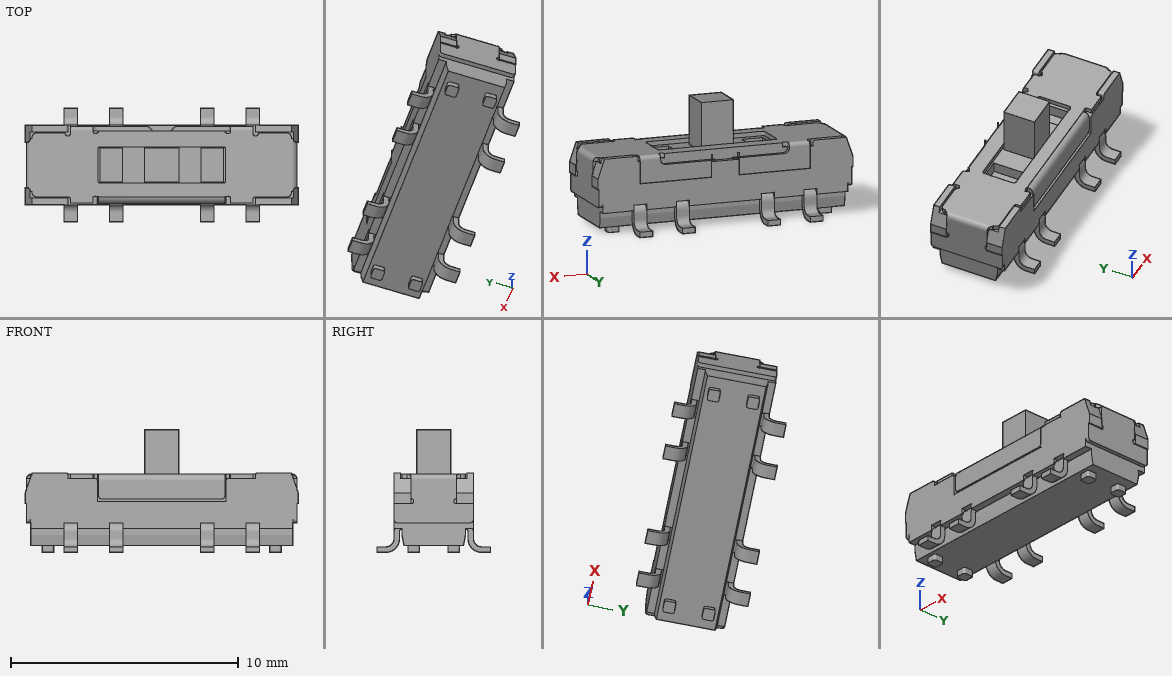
import cadquery as cq

BASE_BOTTOM = 0.3
TAPER_TOP = 0.75
WALL_BOTTOM = 1.05
END_FLAP_BOTTOM = 1.3
EAR_BOTTOM = 2.14
EAR_SLOPE_START = 2.62
FRAME_TOP = 3.25
PLATE_THICKNESS = 0.2
PLATE_TOP = FRAME_TOP + PLATE_THICKNESS
TAB_TOP = 3.5
KNOB_TOP = 5.4

FRAME_LENGTH = 11.52
FRAME_WIDTH = 3.5
HALF_WIDTH = FRAME_WIDTH / 2
EAR_END_X = 6.0
EAR_INNER_Y = 0.99
TAB_END_X = 5.69
TAB_START_X = 4.11
TAB_INNER_Y = 1.45
TAB_ROUND = 0.1

BASE_TOP_WIDTH = 2.8
BASE_BOTTOM_WIDTH = 2.62
PEG_SIZE = 0.52
PEG_ROUND = 0.1
PEG_X = 5.0
PEG_Y = 0.88

END_FLAP_X = 5.95
END_BEND_RADIUS = 0.25
END_FLAP_ROUND = 0.15
FLARE_RADIUS = 0.18
FLARE_Y = EAR_INNER_Y + FLARE_RADIUS
SLIT_HOLE_RADIUS = 0.11
PLATE_LENGTH = 11.4
PLATE_HALF_WIDTH = 1.4
PLATE_CORNER_RADIUS = 0.2
LUG_ROOT_RADIUS = 0.12
LUG_INNER_X = 3.03
LUG_OUTER_X = 4.0
LUG_FRONT_Y = 1.68
BACK_EDGE_Y = 1.5
SIDE_FLAP_Y = 1.695
FLAP_ROOT_Y = 1.3
BACK_BEND_RADIUS = SIDE_FLAP_Y - BACK_EDGE_Y
FRONT_FLAP_HALF = 2.78
FRONT_FLAP_BOTTOM = 2.35
FRONT_FLAP_ROUND = 0.15
FRONT_BEND_RADIUS = 0.31
RELIEF_RADIUS = 0.125
RELIEF_Y = 1.5
RELIEF_X = FRONT_FLAP_HALF + RELIEF_RADIUS
TAB_RELIEF_X = LUG_OUTER_X + RELIEF_RADIUS

FRONT_RECESS_HALF = 2.83
SIDE_RECESS_BOTTOM = 2.24
FRONT_RECESS_DEPTH = 0.4
FRONT_RECESS_ROUND = 0.1
BACK_TROUGH_DEPTH = 0.25
BACK_NOTCH_OUTER_HALF = 0.65
BACK_NOTCH_INNER_HALF = 0.4
BACK_NOTCH_DEPTH = 0.05

WINDOW_LENGTH = 5.6
WINDOW_WIDTH = 1.6
WINDOW_ROUND = 0.1
CARRIAGE_LENGTH = 7.0
CARRIAGE_WIDTH = 2.2
CARRIAGE_BOTTOM = 2.5
CARRIAGE_CLEARANCE = 0.07
CARRIAGE_TOP = FRAME_TOP - CARRIAGE_CLEARANCE
POCKET_INNER_X = 1.73
POCKET_OUTER_X = 2.71
POCKET_DEPTH = 0.5
KNOB_WIDTH = 1.5
KNOB_LENGTH = 1.5

LEG_XS = (-4.0, -2.0, 2.0, 4.0)
LEG_WIDTH = 0.6
LEG_THICKNESS = 0.25
LEG_TIP_Y = 2.5
LEG_TOP = 1.3
LEG_TOP_RADIUS = 0.4
LEG_FOOT_RADIUS = 0.35


def block(x0, x1, y0, y1, z0, z1):
    """Box between two opposite corners."""
    return cq.Workplane("XY").box(x1 - x0, y1 - y0, z1 - z0, centered=False).translate((x0, y0, z0))


def centred_block(length, width, z0, z1):
    """Box centred on the Z axis."""
    return block(-length / 2, length / 2, -width / 2, width / 2, z0, z1)


def mirrored_in_x(shape):
    """The shape together with its copy at the other end."""
    return shape.union(shape.mirror("YZ"))


def make_base():
    half_top = BASE_TOP_WIDTH / 2
    half_bottom = BASE_BOTTOM_WIDTH / 2
    outline = [
        (-half_bottom, BASE_BOTTOM),
        (half_bottom, BASE_BOTTOM),
        (half_top, TAPER_TOP),
        (half_top, WALL_BOTTOM),
        (-half_top, WALL_BOTTOM),
        (-half_top, TAPER_TOP),
    ]
    base = cq.Workplane("YZ").polyline(outline).close().extrude(FRAME_LENGTH / 2, both=True)
    pegs = (
        cq.Workplane("XY")
        .rect(2 * PEG_X, 2 * PEG_Y, forConstruction=True)
        .vertices()
        .rect(PEG_SIZE, PEG_SIZE)
        .extrude(BASE_BOTTOM)
        .edges("|Z")
        .fillet(PEG_ROUND)
    )
    return base.union(pegs)


def make_corner(side):
    """Sloped ear and upright tab at the +X end of one side wall (side is -1 or 1 in Y)."""
    profile = [
        (TAB_START_X, EAR_BOTTOM),
        (EAR_END_X, EAR_BOTTOM),
        (EAR_END_X, EAR_SLOPE_START),
        (TAB_END_X, TAB_TOP),
        (TAB_START_X, TAB_TOP),
    ]
    corner = (
        cq.Workplane("XZ", origin=(0, HALF_WIDTH, 0))
        .polyline(profile)
        .close()
        .extrude(HALF_WIDTH - EAR_INNER_Y)
        .edges("<X and >Z")
        .fillet(TAB_ROUND)
    )
    corner = corner.cut(block(0, EAR_END_X, 0, TAB_INNER_Y, FRAME_TOP, TAB_TOP))
    return corner if side > 0 else corner.mirror("XZ")


def make_end_flaps():
    """Flaps over both ends: full width low down, narrow between the ears, flared at the bend."""
    low = centred_block(2 * END_FLAP_X, FRAME_WIDTH, END_FLAP_BOTTOM, EAR_BOTTOM)
    low = low.edges("|X and <Z").fillet(END_FLAP_ROUND)
    high = centred_block(2 * END_FLAP_X, 2 * EAR_INNER_Y, END_FLAP_BOTTOM, PLATE_TOP)
    high = high.edges("|Y and >Z").fillet(END_BEND_RADIUS)
    flare = centred_block(2 * END_FLAP_X, 2 * FLARE_Y, END_FLAP_BOTTOM, PLATE_TOP)
    flare = flare.edges("|Y and >Z").fillet(END_BEND_RADIUS)
    flare = flare.intersect(centred_block(2 * END_FLAP_X, FRAME_WIDTH, FRAME_TOP, PLATE_TOP))
    scallops = (
        cq.Workplane("XY", origin=(0, 0, FRAME_TOP))
        .rect(2 * END_FLAP_X, 2 * FLARE_Y, forConstruction=True)
        .vertices()
        .circle(FLARE_RADIUS)
        .extrude(PLATE_THICKNESS)
    )
    return low.union(high).union(flare.cut(scallops))


def cut_slit_holes(housing):
    """Half-round reliefs in the end flaps beside the foot of each ear."""
    hole_depth = END_FLAP_X - FRAME_LENGTH / 2
    for side in (-1, 1):
        hole = (
            cq.Workplane("YZ", origin=(FRAME_LENGTH / 2, 0, 0))
            .center(side * EAR_INNER_Y, EAR_BOTTOM + SLIT_HOLE_RADIUS)
            .circle(SLIT_HOLE_RADIUS)
            .extrude(hole_depth)
            .intersect(block(0, EAR_END_X, -EAR_INNER_Y, EAR_INNER_Y, 0, PLATE_TOP))
        )
        housing = housing.cut(mirrored_in_x(hole))
    return housing


def make_plate():
    plate = centred_block(PLATE_LENGTH, 2 * PLATE_HALF_WIDTH, FRAME_TOP, PLATE_TOP)
    plate = plate.edges("|Z").fillet(PLATE_CORNER_RADIUS)
    plate = plate.union(block(-LUG_OUTER_X, LUG_OUTER_X, 0, BACK_EDGE_Y, FRAME_TOP, PLATE_TOP))
    front_lug = block(LUG_INNER_X, LUG_OUTER_X, -LUG_FRONT_Y, 0, FRAME_TOP, PLATE_TOP)
    plate = plate.union(mirrored_in_x(front_lug))
    for end in (-1, 1):
        root = cq.selectors.NearestToPointSelector(
            (end * LUG_OUTER_X, -PLATE_HALF_WIDTH, FRAME_TOP + PLATE_THICKNESS / 2)
        )
        plate = plate.edges(root).fillet(LUG_ROOT_RADIUS)
    reliefs = [
        (RELIEF_X, -RELIEF_Y),
        (RELIEF_X, RELIEF_Y),
        (TAB_RELIEF_X, PLATE_HALF_WIDTH),
    ]
    relief_cut = (
        cq.Workplane("XY", origin=(0, 0, FRAME_TOP))
        .pushPoints(reliefs)
        .circle(RELIEF_RADIUS)
        .extrude(PLATE_THICKNESS)
    )
    return plate.cut(mirrored_in_x(relief_cut))


def make_front_flap():
    flap = block(
        -FRONT_FLAP_HALF, FRONT_FLAP_HALF, -SIDE_FLAP_Y, -FLAP_ROOT_Y, FRONT_FLAP_BOTTOM, PLATE_TOP
    )
    flap = flap.edges("|X and >Z and <Y").fillet(FRONT_BEND_RADIUS)
    return flap.edges("|Y and <Z").fillet(FRONT_FLAP_ROUND)


def make_back_flaps():
    flap = block(LUG_INNER_X, LUG_OUTER_X, FLAP_ROOT_Y, SIDE_FLAP_Y, FRONT_FLAP_BOTTOM, PLATE_TOP)
    return mirrored_in_x(flap.edges("|X and >Z and >Y").fillet(BACK_BEND_RADIUS))


def cut_front_recess(frame):
    """Opening in the front wall that takes the long flap, with rounded upper corners."""
    frame = frame.cut(
        block(
            -FRONT_RECESS_HALF,
            FRONT_RECESS_HALF,
            -HALF_WIDTH,
            FRONT_RECESS_DEPTH - HALF_WIDTH,
            SIDE_RECESS_BOTTOM,
            FRAME_TOP,
        )
    )
    lip_y = -HALF_WIDTH + FRONT_RECESS_DEPTH / 2
    for end in (-1, 1):
        corner = cq.selectors.NearestToPointSelector((end * FRONT_RECESS_HALF, lip_y, FRAME_TOP))
        frame = frame.edges(corner).fillet(FRONT_RECESS_ROUND)
    return frame


def cut_back_recess(frame):
    """Shallow trough behind the plate edge and a step in the back face beside the middle notch."""
    floor = FRAME_TOP - BACK_TROUGH_DEPTH
    trough = block(-LUG_INNER_X, LUG_INNER_X, BACK_EDGE_Y, SIDE_FLAP_Y, floor, PLATE_TOP)
    trough = trough.edges("|Y and <Z").fillet(BACK_TROUGH_DEPTH)
    step = block(BACK_NOTCH_OUTER_HALF, LUG_OUTER_X, SIDE_FLAP_Y, HALF_WIDTH, SIDE_RECESS_BOTTOM, FRAME_TOP)
    notch = (
        cq.Workplane("XY", origin=(0, 0, floor - BACK_NOTCH_DEPTH))
        .polyline(
            [
                (-BACK_NOTCH_OUTER_HALF, HALF_WIDTH),
                (BACK_NOTCH_OUTER_HALF, HALF_WIDTH),
                (BACK_NOTCH_INNER_HALF, BACK_EDGE_Y),
                (-BACK_NOTCH_INNER_HALF, BACK_EDGE_Y),
            ]
        )
        .close()
        .extrude(BACK_TROUGH_DEPTH + BACK_NOTCH_DEPTH)
    )
    return frame.cut(trough).cut(notch).cut(mirrored_in_x(step))


def make_leg(x):
    """Terminal on the back side: bends out of the wall, drops and turns outward into a foot."""
    outer = HALF_WIDTH
    inner = outer - LEG_THICKNESS
    top_y = outer - LEG_TOP_RADIUS
    top_z = LEG_TOP - LEG_TOP_RADIUS
    foot_y = outer + LEG_FOOT_RADIUS
    foot_z = LEG_THICKNESS + LEG_FOOT_RADIUS
    top_inner = LEG_TOP_RADIUS - LEG_THICKNESS
    foot_outer = LEG_FOOT_RADIUS + LEG_THICKNESS
    return (
        cq.Workplane("YZ", origin=(x - LEG_WIDTH / 2, 0, 0))
        .moveTo(top_y, LEG_TOP)
        .radiusArc((outer, top_z), LEG_TOP_RADIUS)
        .lineTo(outer, foot_z)
        .radiusArc((foot_y, LEG_THICKNESS), -LEG_FOOT_RADIUS)
        .lineTo(LEG_TIP_Y, LEG_THICKNESS)
        .lineTo(LEG_TIP_Y, 0)
        .lineTo(foot_y, 0)
        .radiusArc((inner, foot_z), foot_outer)
        .lineTo(inner, top_z)
        .radiusArc((top_y, top_z + top_inner), -top_inner)
        .close()
        .extrude(LEG_WIDTH)
    )


def add_legs(housing):
    for x in LEG_XS:
        half = LEG_WIDTH / 2
        notch = block(x - half, x + half, HALF_WIDTH - LEG_TOP_RADIUS, HALF_WIDTH, WALL_BOTTOM, LEG_TOP)
        leg = make_leg(x)
        housing = housing.cut(notch).cut(notch.mirror("XZ"))
        housing = housing.union(leg).union(leg.mirror("XZ"))
    return housing


def make_housing():
    frame = centred_block(FRAME_LENGTH, FRAME_WIDTH, WALL_BOTTOM, FRAME_TOP)
    frame = cut_back_recess(cut_front_recess(frame))
    housing = frame.union(make_base()).union(make_end_flaps())
    for side in (-1, 1):
        housing = housing.union(mirrored_in_x(make_corner(side)))
    housing = housing.union(make_plate()).union(make_front_flap()).union(make_back_flaps())
    housing = cut_slit_holes(housing)
    window = centred_block(WINDOW_LENGTH, WINDOW_WIDTH, FRAME_TOP, PLATE_TOP)
    cavity = centred_block(CARRIAGE_LENGTH, CARRIAGE_WIDTH, CARRIAGE_BOTTOM, FRAME_TOP)
    housing = housing.cut(window.edges("|Z").fillet(WINDOW_ROUND)).cut(cavity)
    return add_legs(housing)


def make_slider():
    """Carriage captive under the plate, with a square knob between two open-topped pockets."""
    carriage = centred_block(CARRIAGE_LENGTH, CARRIAGE_WIDTH, CARRIAGE_BOTTOM, CARRIAGE_TOP)
    half = KNOB_WIDTH / 2
    floor = CARRIAGE_TOP - POCKET_DEPTH
    pocket = block(POCKET_INNER_X, POCKET_OUTER_X, -half, half, floor, CARRIAGE_TOP)
    carriage = carriage.cut(mirrored_in_x(pocket))
    return carriage.union(centred_block(KNOB_LENGTH, KNOB_WIDTH, CARRIAGE_TOP, KNOB_TOP))


housing = make_housing()
slider = make_slider()
result = cq.Compound.makeCompound([housing.solids().val(), slider.solids().val()])